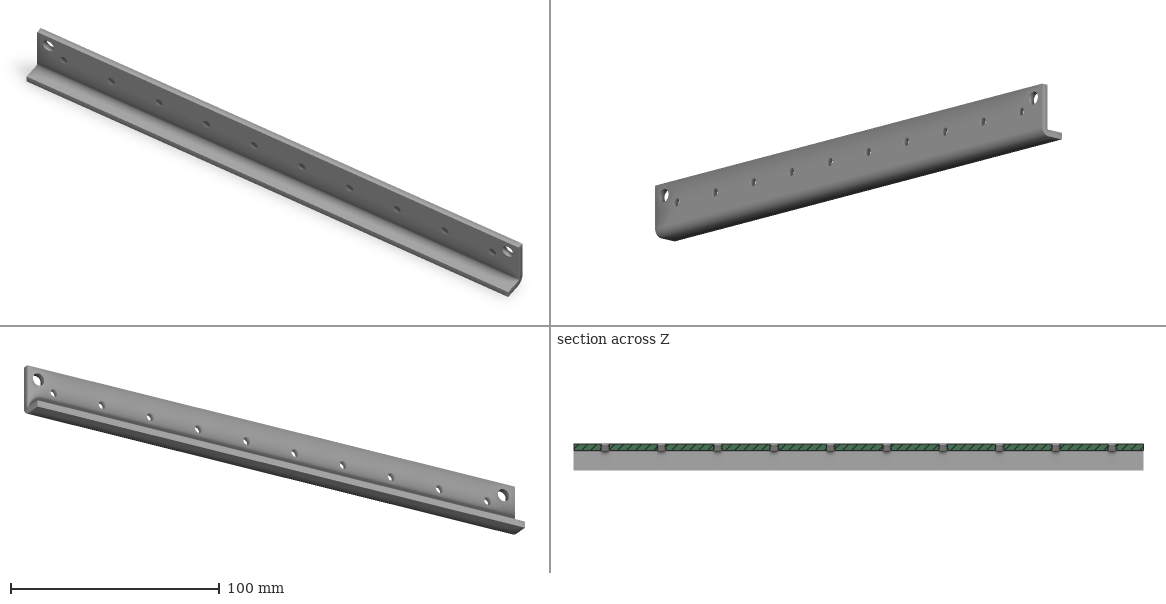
import cadquery as cq

length = 273.0
depth = 12.8
height = 25.5
thickness = 3.3
upright_front = depth - thickness
inner_bend_radius = 0.8
outer_bend_radius = inner_bend_radius + thickness

threaded_hole_count = 10
threaded_hole_end_distance = 15.0
threaded_hole_pitch = (length - 2 * threaded_hole_end_distance) / (threaded_hole_count - 1)
threaded_hole_above_middle = 1.6

thread_minor_radius = 4.0 / 2
thread_major_radius = 5.5 / 2
thread_groove_count = 5
thread_pitch = thickness / thread_groove_count

mount_hole_diameter = 6.3
mount_hole_end_distance = 6.3
mount_hole_top_distance = 6.0


def angle_bar():
    """L-shaped bar with its back at y = depth, its underside at z = 0 and a rounded bend."""
    section = (
        cq.Workplane("YZ")
        .moveTo(0, 0)
        .lineTo(depth, 0)
        .lineTo(depth, height)
        .lineTo(upright_front, height)
        .lineTo(upright_front, thickness)
        .lineTo(0, thickness)
        .close()
    )
    bar = section.extrude(length / 2, both=True)
    outer_corner = cq.selectors.NearestToPointSelector((0, depth, 0))
    inner_corner = cq.selectors.NearestToPointSelector((0, upright_front, thickness))
    bar = bar.edges(outer_corner).fillet(outer_bend_radius)
    return bar.edges(inner_corner).fillet(inner_bend_radius)


def thread_cutter():
    """Threaded hole shape around the Y axis, from the front to the back of the upright leg."""
    profile = cq.Workplane("XY").moveTo(0, upright_front).lineTo(thread_minor_radius, upright_front)
    for groove in range(thread_groove_count):
        groove_start = upright_front + groove * thread_pitch
        profile = profile.lineTo(thread_major_radius, groove_start + thread_pitch / 2)
        profile = profile.lineTo(thread_minor_radius, groove_start + thread_pitch)
    return profile.lineTo(0, depth).close().revolve(360, (0, 0), (0, 1))


def cut_threaded_holes(bar):
    cutter = thread_cutter()
    first_x = -length / 2 + threaded_hole_end_distance
    hole_z = height / 2 + threaded_hole_above_middle
    for hole in range(threaded_hole_count):
        bar = bar.cut(cutter.translate((first_x + hole * threaded_hole_pitch, 0, hole_z)))
    return bar


def cut_mount_holes(bar):
    mount_x = length / 2 - mount_hole_end_distance
    mount_z = height - mount_hole_top_distance
    centres = [(-mount_x, mount_z), (mount_x, mount_z)]
    cutters = cq.Workplane("XZ").pushPoints(centres).circle(mount_hole_diameter / 2).extrude(-depth)
    return bar.cut(cutters)


result = cut_mount_holes(cut_threaded_holes(angle_bar()))